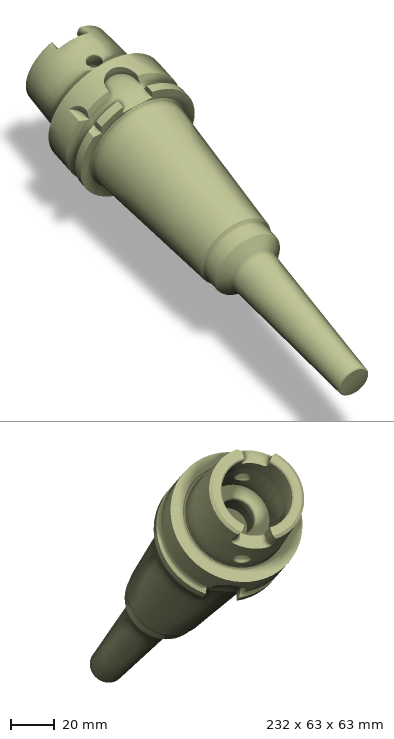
import cadquery as cq
import math


shank_length = 32.0
shank_end_radius = 22.7
shank_base_radius = 24.25
end_chamfer_length = 1.0
end_chamfer_height = 1.5
neck_length = 2.1
neck_radius = 24.0
neck_ramp = 0.6
neck_flare = 0.8
face_recess_depth = 0.6
face_recess_outer_radius = 25.6
face_recess_floor_radius = 25.0

flange_radius = 31.5
flange_width = 26.0
groove_center_x = 18.0
groove_floor_radius = 27.7
groove_floor_half_width = 1.5
groove_wall_angle = 30.0
groove_fillet = 1.0
groove_half_width = groove_floor_half_width + (flange_radius - groove_floor_radius) * math.tan(
    math.radians(groove_wall_angle)
)

body_start_radius = 25.3
body_start_x = 27.0
body_end_radius = 19.35
body_end_x = 104.8
body_root_radius = 26.2
body_step_x = 105.3
body_step_radius = 18.7
collar_radius = 18.1
collar_start_x = 106.0
collar_end_x = 113.8
collar_bevel_length = 0.7
collar_bevel_height = 0.25
nose_start_x = 120.0
nose_start_radius = 12.25
nose_tip_x = 200.0
nose_tip_radius = 8.2
nose_root_fillet = 2.0
tip_chamfer = 0.5

bore_radius = 16.9
mouth_chamfer = 0.6
bore_cone_start_x = -18.3
bore_floor_radius = 15.7
bore_floor_x = 0.0
thread_radius = 9.3
thread_minor_radius = 8.7
thread_chamfer = thread_radius - thread_minor_radius
thread_floor_x = 12.0

slot_inner_z = 14.0
slot_inner_half_width = 5.6
slot_wall_top = 18.2
slot_wall_top_half_width = 6.8
slot_edge_y = 11.0
slot_edge_z = 20.9
slot_floor_fillet = 1.8
slot_reach = 30.0
upper_slot_depth = 6.2
lower_slot_depth = 10.2

access_x = -9.0
access_radius = 3.8
access_chamfer = 0.4
shank_mid_wall = (bore_radius + shank_base_radius) / 2

pocket_center_x = 13.0
keyway_half_width = 8.0
keyway_floor_z = 26.5
notch_floor_z = 20.0
notch_wall_y = -20.0
notch_half_width = 8.0


select_margin = 0.1
half_turn = 180


def revolve_about_x(points):
    """Solid of revolution from (x, y) points, closed along the X axis."""
    start = (points[0][0], 0)
    end = (points[-1][0], 0)
    outline = cq.Workplane("XY").polyline([start] + points + [end]).close()
    return outline.revolve(2 * half_turn, (0, 0, 0), (1, 0, 0))


def make_outer_body():
    """Shank, flange, body, collar and nose; radii lie on the -Y side."""
    stations = [
        (-shank_length, shank_end_radius - end_chamfer_height),
        (-shank_length + end_chamfer_length, shank_end_radius),
        (-neck_length, shank_base_radius),
        (-neck_length + neck_ramp, neck_radius),
        (-neck_flare, neck_radius),
        (0, shank_base_radius),
        (face_recess_depth, shank_base_radius),
        (face_recess_depth, face_recess_floor_radius),
        (0, face_recess_outer_radius),
        (0, flange_radius),
        (groove_center_x - groove_half_width, flange_radius),
        (groove_center_x - groove_floor_half_width, groove_floor_radius),
        (groove_center_x + groove_floor_half_width, groove_floor_radius),
        (groove_center_x + groove_half_width, flange_radius),
        (flange_width, flange_radius),
        (flange_width, body_root_radius),
        (body_start_x, body_start_radius),
        (body_end_x, body_end_radius),
        (body_step_x, body_step_radius),
        (collar_start_x, collar_radius),
        (collar_end_x, collar_radius),
        (collar_end_x + collar_bevel_length, collar_radius - collar_bevel_height),
        (nose_start_x, nose_start_radius),
        (nose_tip_x - tip_chamfer, nose_tip_radius),
        (nose_tip_x, nose_tip_radius - tip_chamfer),
    ]
    body = revolve_about_x([(x, -radius) for x, radius in stations])

    def ring_edges(x, radius):
        box = cq.selectors.BoxSelector(
            (x - select_margin, -radius - select_margin, -radius - select_margin),
            (x + select_margin, radius + select_margin, radius + select_margin),
            boundingbox=True,
        )
        return body.edges("%CIRCLE").edges(box)

    for side in (-1, 1):
        x = groove_center_x + side * groove_floor_half_width
        body = ring_edges(x, groove_floor_radius).fillet(groove_fillet)
    return ring_edges(nose_start_x, nose_start_radius).fillet(nose_root_fillet)


def make_bore():
    """Chamfered bore narrowing to its floor, with a smaller thread bore beyond."""
    return revolve_about_x([
        (-shank_length, bore_radius + mouth_chamfer),
        (-shank_length + mouth_chamfer, bore_radius),
        (bore_cone_start_x, bore_radius),
        (bore_floor_x, bore_floor_radius),
        (bore_floor_x, thread_radius),
        (bore_floor_x + thread_chamfer, thread_minor_radius),
        (thread_floor_x, thread_minor_radius),
    ])


def make_drive_slot(depth):
    """Slot open towards +Z with sloped walls that round outward and a filleted floor."""
    return (
        cq.Workplane("YZ", origin=(-shank_length, 0, 0))
        .moveTo(0, slot_inner_z)
        .lineTo(slot_inner_half_width, slot_inner_z)
        .lineTo(slot_wall_top_half_width, slot_wall_top)
        .tangentArcPoint((slot_edge_y, slot_edge_z), relative=False)
        .lineTo(slot_edge_y, slot_reach)
        .lineTo(0, slot_reach)
        .mirrorY()
        .extrude(depth)
        .faces(">X")
        .edges("not #Z")
        .edges("not |Z")
        .fillet(slot_floor_fillet)
    )


def cut_access_hole(part):
    """Cross hole through both shank walls, chamfered where it meets the taper."""
    drill = cq.Workplane("XY").center(access_x, 0).circle(access_radius)
    part = part.cut(drill.extrude(2 * flange_radius, both=True))
    for z_low, z_high in ((shank_mid_wall, flange_radius), (-flange_radius, -shank_mid_wall)):
        rim = cq.selectors.BoxSelector(
            (access_x - 2 * access_radius, -2 * access_radius, z_low),
            (access_x + 2 * access_radius, 2 * access_radius, z_high),
            boundingbox=True,
        )
        part = part.edges(rim).chamfer(access_chamfer)
    return part


def make_flange_pocket(center_y, half_width, floor_z):
    """Pocket with a rounded inner end, open towards +X and +Z."""
    plane = cq.Workplane("XY", origin=(pocket_center_x, center_y, floor_z))
    length = flange_width - pocket_center_x
    straight = plane.center(length / 2, 0).rect(length, 2 * half_width).extrude(flange_radius)
    return plane.circle(half_width).extrude(flange_radius).union(straight)


def flip_below(shape):
    """Turn a shape about X from the +Z side to the -Z side."""
    return shape.rotate((0, 0, 0), (1, 0, 0), half_turn)


keyway = make_flange_pocket(0, keyway_half_width, keyway_floor_z)
index_notch = make_flange_pocket(notch_wall_y - notch_half_width, notch_half_width, notch_floor_z)

result = cut_access_hole(make_outer_body().cut(make_bore()))
result = result.cut(make_drive_slot(upper_slot_depth))
result = result.cut(flip_below(make_drive_slot(lower_slot_depth)))
result = result.cut(keyway)
result = result.cut(flip_below(keyway))
result = result.cut(index_notch)